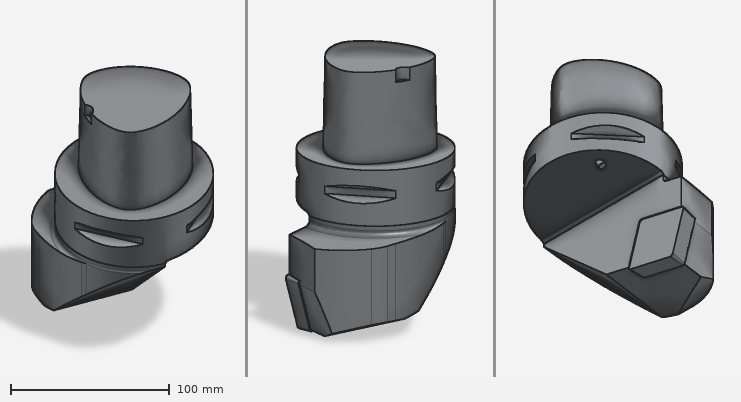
import cadquery as cq
import math

SHANK_HEIGHT = 60.0
FLANGE_DIAMETER = 100.0
FLANGE_RADIUS = FLANGE_DIAMETER / 2
INSERT_TIP_Z = -110.0
INSERT_LEFT_X = -67.1

SHANK_BASE_RADIUS = 36.0
SHANK_TOP_RADIUS = 34.7
LOBE_HEIGHT = 2.7
LOBES = 3
SHANK_CURVE_POINTS = 48
NOTCH_RADIUS = 6.0
NOTCH_CENTER_Y = -34.7
NOTCH_DEPTH = 8.2

SLOT_COUNT = 4
SLOT_FLOOR_DISTANCE = 44.4
SLOT_FLOOR_HEIGHT = 4.8
SLOT_FLARE_ANGLE = 31
SLOT_CENTER_Z = -16.3

FLANGE_BOTTOM_Z = -36.7
NECK_RADIUS = FLANGE_RADIUS - 0.2
NECK_FILLET = 4.0
NECK_FILLET_TOP_Z = -39.6
SHOULDER_ANGLE = 15
SHOULDER_OUTER_RADIUS = 85

HEAD_FACE_Y = -0.6
HEAD_LEFT_X = -64.8
HEAD_FRONT_Y = -56.5
HEAD_SMALL_RADIUS = FLANGE_RADIUS + 0.2
LEFT_CORNER_Y = -30.3
LEFT_ARC_MIDDLE = (-52.5, -44.7)
LEFT_ARC_END = (-37.4, -54.0)
FRONT_FLAT_LEFT_X = -27.0
FRONT_FLAT_RIGHT_X = -21.2
BLEND_END = (21.2, -45.7)
SMALL_ARC_START_X = 24.0

INSERT_ANGLE = 15
FLANK_START_Z = -76.7
HEEL_X = -2.4
HEEL_Z = -93.2
BACK_SLOPE_ANGLE = 46
BEVEL_FRONT_Z = -96.0
BEVEL_ANGLE = 23
TRIM_SIZE = 255
RELIEF_REAR_Z = -30.6
RELIEF_ANGLE = 5
RELIEF_FILLET = 2.5

NOZZLE_DIAMETER = 5.0
NOZZLE_X = -25.5
NOZZLE_Y = 29.7
NOZZLE_END_Z = -35.4
NOZZLE_LENGTH = 10.2
NOZZLE_DIRECTION = (-0.45, -0.25, -0.86)

INSERT_SIDE = 38.2
INSERT_THICKNESS = 12.7
INSERT_CORNER_RADIUS = 2.46
INSERT_RELIEF_ANGLE = 5.5


def lobed_point(angle, mean_radius):
    """Point of the curve whose tangent distance is mean_radius plus a three-fold ripple."""
    distance = mean_radius - LOBE_HEIGHT * math.sin(LOBES * angle)
    slope = -LOBES * LOBE_HEIGHT * math.cos(LOBES * angle)
    x = distance * math.cos(angle) - slope * math.sin(angle)
    y = distance * math.sin(angle) + slope * math.cos(angle)
    return (x, y)


def lobed_wire(mean_radius, z):
    step = 2 * math.pi / SHANK_CURVE_POINTS
    points = [lobed_point(i * step, mean_radius) for i in range(SHANK_CURVE_POINTS)]
    return cq.Workplane("XY", origin=(0, 0, z)).spline(points, periodic=True).close().val()


def make_shank():
    base = lobed_wire(SHANK_BASE_RADIUS, 0)
    top = lobed_wire(SHANK_TOP_RADIUS, SHANK_HEIGHT)
    shank = cq.Workplane(cq.Solid.makeLoft([base, top], True))
    notch = (
        cq.Workplane("XY", origin=(0, NOTCH_CENTER_Y, SHANK_HEIGHT))
        .circle(NOTCH_RADIUS)
        .extrude(-NOTCH_DEPTH)
    )
    return shank.cut(notch)


def gripper_slot(angle):
    """Straight slot with flared walls, cut across the flange at the given angle."""
    flare_depth = 2 * (FLANGE_RADIUS - SLOT_FLOOR_DISTANCE)
    floor = SLOT_FLOOR_HEIGHT / 2
    mouth = floor + flare_depth * math.tan(math.radians(SLOT_FLARE_ANGLE))
    mouth_distance = SLOT_FLOOR_DISTANCE + flare_depth
    return (
        cq.Workplane("XZ", origin=(0, 0, SLOT_CENTER_Z))
        .moveTo(SLOT_FLOOR_DISTANCE, -floor)
        .lineTo(mouth_distance, -mouth)
        .lineTo(mouth_distance, mouth)
        .lineTo(SLOT_FLOOR_DISTANCE, floor)
        .close()
        .extrude(FLANGE_RADIUS, both=True)
        .rotate((0, 0, 0), (0, 0, 1), angle)
    )


def make_flange():
    flange = cq.Workplane("XY").circle(FLANGE_RADIUS).extrude(FLANGE_BOTTOM_Z)
    for i in range(SLOT_COUNT):
        flange = flange.cut(gripper_slot((i + 0.5) * 360 / SLOT_COUNT))
    return flange


def head_column():
    """Vertical column with the head's plan outline."""
    small_arc_start = (SMALL_ARC_START_X, -math.sqrt(HEAD_SMALL_RADIUS**2 - SMALL_ARC_START_X**2))
    rear_right = (math.sqrt(HEAD_SMALL_RADIUS**2 - HEAD_FACE_Y**2), HEAD_FACE_Y)
    diagonal = HEAD_SMALL_RADIUS / math.sqrt(2)
    return (
        cq.Workplane("XY", origin=(0, 0, FLANGE_BOTTOM_Z))
        .moveTo(HEAD_LEFT_X, HEAD_FACE_Y)
        .lineTo(HEAD_LEFT_X, LEFT_CORNER_Y)
        .threePointArc(LEFT_ARC_MIDDLE, LEFT_ARC_END)
        .tangentArcPoint((FRONT_FLAT_LEFT_X, HEAD_FRONT_Y), relative=False)
        .lineTo(FRONT_FLAT_RIGHT_X, HEAD_FRONT_Y)
        .tangentArcPoint(BLEND_END, relative=False)
        .lineTo(*small_arc_start)
        .threePointArc((diagonal, -diagonal), rear_right)
        .close()
        .extrude(INSERT_TIP_Z - FLANGE_BOTTOM_Z)
    )


def shoulder_envelope():
    """Turned shape: neck, fillet and conical shoulder."""
    slope = math.radians(SHOULDER_ANGLE)
    middle = slope + (math.pi / 2 - slope) / 2
    center_x = NECK_RADIUS + NECK_FILLET

    def fillet_point(turn):
        x = center_x - NECK_FILLET * math.sin(turn)
        z = NECK_FILLET_TOP_Z - NECK_FILLET * math.cos(turn)
        return (x, z)

    cone_start = fillet_point(slope)
    drop = (SHOULDER_OUTER_RADIUS - cone_start[0]) * math.tan(slope)
    return (
        cq.Workplane("XZ")
        .moveTo(0, FLANGE_BOTTOM_Z)
        .lineTo(NECK_RADIUS, FLANGE_BOTTOM_Z)
        .lineTo(NECK_RADIUS, NECK_FILLET_TOP_Z)
        .threePointArc(fillet_point(middle), cone_start)
        .lineTo(SHOULDER_OUTER_RADIUS, cone_start[1] - drop)
        .lineTo(SHOULDER_OUTER_RADIUS, INSERT_TIP_Z)
        .lineTo(0, INSERT_TIP_Z)
        .close()
        .revolve(360, (0, 0, 0), (0, 1, 0))
    )


def trim_block(point, axis, angle):
    """Block below a plane through point, tilted from level about the given axis."""
    half = TRIM_SIZE / 2
    block = cq.Workplane("XY").box(TRIM_SIZE, TRIM_SIZE, TRIM_SIZE).translate((0, 0, -half))
    return block.rotate((0, 0, 0), axis, angle).translate(point)


def trim_head(body):
    turn_up_to_right = (0, -1, 0)
    lean_up_to_front = (-1, 0, 0)
    flank = trim_block((HEAD_LEFT_X, 0, FLANK_START_Z), turn_up_to_right, INSERT_ANGLE - 90)
    heel = trim_block((HEEL_X, 0, HEEL_Z), turn_up_to_right, INSERT_ANGLE)
    back = trim_block((HEEL_X, 0, HEEL_Z), turn_up_to_right, BACK_SLOPE_ANGLE)
    bevel = trim_block((0, HEAD_FRONT_Y, BEVEL_FRONT_Z), lean_up_to_front, BEVEL_ANGLE)
    return body.cut(flank).cut(heel).cut(back).cut(bevel)


def rear_relief():
    """Space behind the head face, below a slightly sloping ceiling with a rounded corner."""
    rise = (FLANGE_RADIUS - HEAD_FACE_Y) * math.tan(math.radians(RELIEF_ANGLE))
    return (
        cq.Workplane("YZ")
        .moveTo(HEAD_FACE_Y, INSERT_TIP_Z)
        .lineTo(HEAD_FACE_Y, RELIEF_REAR_Z - rise)
        .lineTo(FLANGE_RADIUS, RELIEF_REAR_Z)
        .lineTo(FLANGE_RADIUS, INSERT_TIP_Z)
        .close()
        .extrude(SHOULDER_OUTER_RADIUS, both=True)
        .edges(cq.selectors.NearestToPointSelector((0, HEAD_FACE_Y, RELIEF_REAR_Z - rise)))
        .fillet(RELIEF_FILLET)
    )


def make_nozzle():
    """Slanted round stub whose flat end points towards the insert."""
    end = (NOZZLE_X, NOZZLE_Y, NOZZLE_END_Z)
    end_plane = cq.Plane(origin=end, normal=NOZZLE_DIRECTION)
    return cq.Workplane(end_plane).circle(NOZZLE_DIAMETER / 2).extrude(-NOZZLE_LENGTH)


def make_insert():
    """Square insert with rounded corners, relieved flanks and its rake face at Y = 0."""
    turn = math.radians(INSERT_ANGLE)
    corner_offset = INSERT_SIDE / 2 - INSERT_CORNER_RADIUS
    reach = corner_offset * (math.cos(turn) + math.sin(turn)) + INSERT_CORNER_RADIUS
    center = (INSERT_LEFT_X + reach, 0, INSERT_TIP_Z + reach)
    square = cq.Sketch().rect(INSERT_SIDE, INSERT_SIDE).vertices().fillet(INSERT_CORNER_RADIUS)
    return (
        cq.Workplane("XZ", origin=center)
        .transformed(rotate=(0, 0, INSERT_ANGLE))
        .placeSketch(square)
        .extrude(INSERT_THICKNESS, taper=INSERT_RELIEF_ANGLE)
    )


def make_holder(insert):
    head = head_column().intersect(shoulder_envelope())
    body = trim_head(make_flange().union(head)).cut(rear_relief())
    return body.union(make_shank()).union(make_nozzle()).cut(insert)


cutting_insert = make_insert()
holder = make_holder(cutting_insert)
result = cq.Compound.makeCompound([holder.val(), cutting_insert.val()])